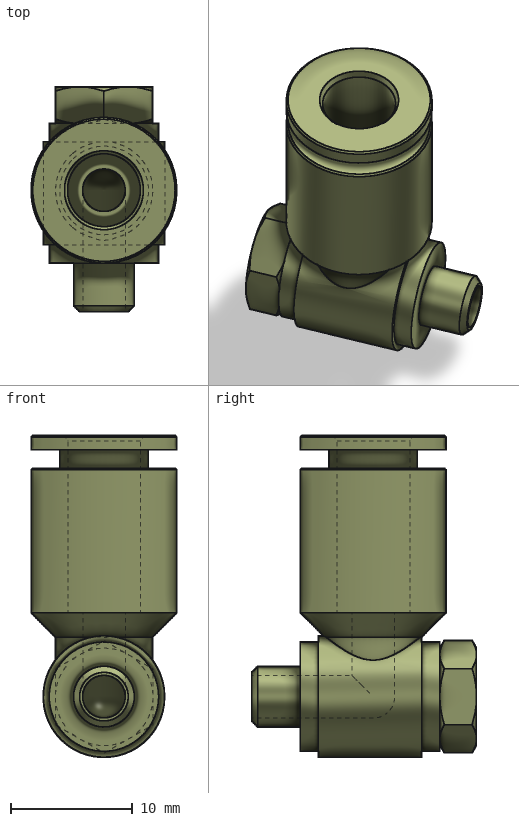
import cadquery as cq
import math


body_diameter = 12.0
body_edge_chamfer = 0.15
neck_diameter = 8.0
cone_bottom_z = 4.9
cone_height = 2.0
cone_top_z = cone_bottom_z + cone_height
body_top_z = 18.8

collar_neck_diameter = 7.3
collar_flange_diameter = 12.0
collar_flange_thickness = 1.2
collar_edge_chamfer = 0.15
collar_top_z = 21.5
collar_flange_bottom_z = collar_top_z - collar_flange_thickness

tube_bore_diameter = 6.0
tube_mouth_widening = 0.25
tube_mouth_depth = 0.45
tube_bore_bottom_z = cone_top_z
passage_diameter = 3.5

banjo_diameter = 10.0
banjo_front_y = -4.5
banjo_back_y = 4.0
washer_diameter = 9.0
washer_thickness = 1.5
washer_front_y = banjo_front_y - washer_thickness
washer_back_y = banjo_back_y + washer_thickness
stud_diameter = 5.0
stud_length = 4.0
stud_chamfer = 0.5
stud_tip_y = washer_front_y - stud_length

hex_across_flats = 8.0
hex_height = 3.0
hex_back_y = washer_back_y + hex_height
hex_across_corners = hex_across_flats / math.cos(math.radians(30))
hex_corner_bevel_depth = 0.35
hex_bevel_angle = 30


def y_cylinder(diameter, start_y, end_y):
    """Cylinder on the Y axis between two stations."""
    plane = cq.Workplane("XZ", origin=(0, end_y, 0))
    return plane.circle(diameter / 2).extrude(end_y - start_y)


def z_cylinder(diameter, bottom_z, top_z):
    """Cylinder on the Z axis between two heights."""
    plane = cq.Workplane("XY", origin=(0, 0, bottom_z))
    return plane.circle(diameter / 2).extrude(top_z - bottom_z)


def make_tube_socket():
    """Neck, cone and socket body turned about Z."""
    body_radius = body_diameter / 2
    neck_radius = neck_diameter / 2
    profile = [
        (0, 0),
        (neck_radius, 0),
        (neck_radius, cone_bottom_z),
        (body_radius, cone_top_z),
        (body_radius, body_top_z),
        (0, body_top_z),
    ]
    socket = cq.Workplane("XZ").polyline(profile).close().revolve(360, (0, 0), (0, 1))
    return socket.faces(">Z").edges().chamfer(body_edge_chamfer)


def make_release_collar():
    """Collar neck with the push flange on top."""
    neck = z_cylinder(collar_neck_diameter, cone_top_z, collar_flange_bottom_z)
    flange = z_cylinder(collar_flange_diameter, collar_flange_bottom_z, collar_top_z)
    flange = flange.faces(">Z").edges().chamfer(collar_edge_chamfer)
    return neck.union(flange)


def make_hex_head():
    """Hexagon with corners up and down along Z, bevelled at both ends."""
    hexagon = (
        cq.Workplane("XZ", origin=(0, hex_back_y, 0))
        .transformed(rotate=(0, 0, 90))
        .polygon(6, hex_across_corners)
        .extrude(hex_height)
    )
    bevel_radial = hex_corner_bevel_depth / math.tan(math.radians(hex_bevel_angle))
    envelope = y_cylinder(hex_across_corners, washer_back_y, hex_back_y)
    envelope = envelope.faces("<Y or >Y").edges().chamfer(hex_corner_bevel_depth, bevel_radial)
    return hexagon.intersect(envelope)


def make_banjo():
    """Banjo barrel, sealing washers, stud and hexagon head."""
    barrel = y_cylinder(banjo_diameter, banjo_front_y, banjo_back_y)
    washers = y_cylinder(washer_diameter, washer_front_y, washer_back_y)
    stud = y_cylinder(stud_diameter, stud_tip_y, washer_front_y)
    stud = stud.faces("<Y").edges().chamfer(stud_chamfer)
    return barrel.union(washers).union(stud).union(make_hex_head())


def make_flow_passage():
    """Chamfered tube bore leading to a right-angle passage with a ball corner."""
    tube_bore = z_cylinder(tube_bore_diameter, tube_bore_bottom_z, collar_top_z)
    mouth_radius = tube_bore_diameter / 2 + tube_mouth_widening
    mouth = cq.Workplane(
        cq.Solid.makeCone(
            tube_bore_diameter / 2,
            mouth_radius,
            tube_mouth_depth,
            pnt=cq.Vector(0, 0, collar_top_z - tube_mouth_depth),
        )
    )
    down_leg = z_cylinder(passage_diameter, 0, tube_bore_bottom_z)
    front_leg = y_cylinder(passage_diameter, stud_tip_y, 0)
    corner = cq.Workplane("XY").sphere(passage_diameter / 2)
    return tube_bore.union(mouth).union(down_leg).union(front_leg).union(corner)


fitting = make_tube_socket().union(make_release_collar()).union(make_banjo())
result = fitting.cut(make_flow_passage())